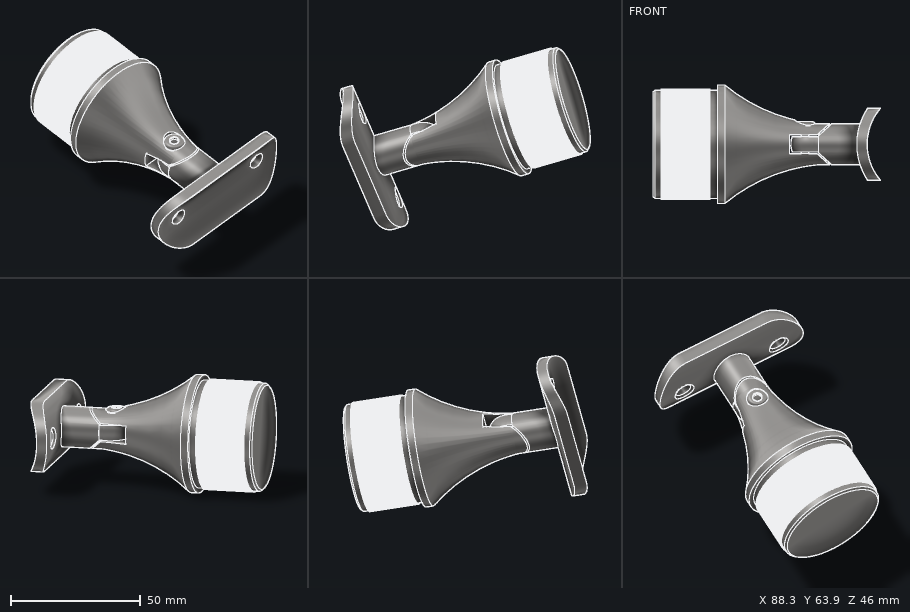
import cadquery as cq
import math


knob_radius = 21.0
knob_chamfer = 0.8
knurl_start = 3.1
knurl_end = 22.25
knurl_crest_radius = 21.45
knurl_ribs = 180
rib_share = 0.5

flange_radius = 46.0 / 2
flange_start = 25.0
flange_end = 27.9
flare_mid_x = 44.1
flare_mid_radius = 13.1
neck_start = 64.1
stem_radius = 16.0 / 2

slot_start = 53.0
slot_height = 7.2
fork_bevel_start = 63.65
bevel_angle = math.radians(42)
tongue_thickness = 6.0
shoulder_height = 6.5
tongue_neck_radius = 16.15 / 2
ball_x = 61.5
ball_radius = 8.1
pivot_x = 59.0
pin_diameter = 3.0
pin_embedment = 0.9

head_diameter = 8.4
head_top_z = 8.8
head_edge_radius = 1.7
socket_across_flats = 3.2
socket_mouth_diameter = 3.7
socket_mouth_depth = 0.3
socket_depth = 1.3

overall_length = 88.3
plate_length = 63.9
plate_width = 28.0
plate_front_x = 79.0
plate_thickness = 4.1
hole_spacing = 42.0
hole_diameter = 6.5
countersink_diameter = 8.4

half_slot = slot_height / 2
half_tongue = tongue_thickness / 2
half_shoulder = shoulder_height / 2
fork_tip_x = fork_bevel_start + (stem_radius - half_slot) / math.tan(bevel_angle)
shoulder_top_x = neck_start + (stem_radius - half_shoulder) / math.tan(bevel_angle)


def x_cylinder(radius, start, end):
    return cq.Workplane("YZ", origin=(start, 0, 0)).circle(radius).extrude(end - start)


def y_prism(points):
    """Closed XZ outline extended through the whole part in Y."""
    return cq.Workplane("XZ").polyline(points).close().extrude(flange_radius, both=True)


def make_knob_and_flare():
    return (
        cq.Workplane("XY")
        .moveTo(0, 0)
        .lineTo(0, knob_radius - knob_chamfer)
        .lineTo(knob_chamfer, knob_radius)
        .lineTo(flange_start, knob_radius)
        .lineTo(flange_start, flange_radius)
        .lineTo(flange_end, flange_radius)
        .threePointArc((flare_mid_x, flare_mid_radius), (neck_start, stem_radius))
        .lineTo(fork_tip_x, stem_radius)
        .lineTo(fork_tip_x, 0)
        .close()
        .revolve(360, (0, 0, 0), (1, 0, 0))
    )


def make_knurl():
    """Straight, square-sided ribs standing on the knob surface."""
    pitch = 2 * math.pi / knurl_ribs
    half_rib = rib_share * pitch / 2
    corners = []
    for rib in range(knurl_ribs):
        angle = rib * pitch
        for radius, offset in (
            (knob_radius, -half_rib),
            (knurl_crest_radius, -half_rib),
            (knurl_crest_radius, half_rib),
            (knob_radius, half_rib),
        ):
            corners.append((radius * math.cos(angle + offset), radius * math.sin(angle + offset)))
    profile = cq.Workplane("YZ", origin=(knurl_start, 0, 0)).polyline(corners).close()
    return profile.extrude(knurl_end - knurl_start)


def make_fork_opening():
    """Slot for the tongue, opening into a wide V at the fork tips."""
    mouth_x = fork_bevel_start + (flange_radius - half_slot) / math.tan(bevel_angle)
    return y_prism(
        [
            (slot_start, -half_slot),
            (fork_bevel_start, -half_slot),
            (mouth_x, -flange_radius),
            (mouth_x, flange_radius),
            (fork_bevel_start, half_slot),
            (slot_start, half_slot),
        ]
    )


def make_stem():
    """Round stem with bevelled shoulders and a flat tongue ending in a ball."""
    rod = x_cylinder(stem_radius, neck_start, plate_front_x + plate_thickness / 2)
    neck = x_cylinder(tongue_neck_radius, ball_x, neck_start)
    ball = cq.Workplane("XY").sphere(ball_radius).translate((ball_x, 0, 0))
    envelope = y_prism(
        [
            (slot_start, -half_tongue),
            (neck_start, -half_tongue),
            (neck_start, -half_shoulder),
            (shoulder_top_x, -stem_radius),
            (overall_length, -stem_radius),
            (overall_length, stem_radius),
            (shoulder_top_x, stem_radius),
            (neck_start, half_shoulder),
            (neck_start, half_tongue),
            (slot_start, half_tongue),
        ]
    )
    return rod.union(neck).union(ball).intersect(envelope)


def make_pin():
    return (
        cq.Workplane("XY", origin=(pivot_x, 0, 0))
        .circle(pin_diameter / 2)
        .extrude(half_slot + pin_embedment, both=True)
    )


def make_screw_head():
    return (
        cq.Workplane("XY", origin=(pivot_x, 0, half_slot))
        .circle(head_diameter / 2)
        .extrude(head_top_z - half_slot)
        .faces(">Z")
        .edges()
        .fillet(head_edge_radius)
    )


def make_head_recess():
    """Spot face that clears the flare above the screw head."""
    return (
        cq.Workplane("XY", origin=(pivot_x, 0, half_slot))
        .circle(head_diameter / 2)
        .extrude(flange_radius)
    )


def make_socket():
    """Hexagonal key socket below a shallow round mouth."""
    corner_diameter = socket_across_flats / math.cos(math.pi / 6)
    top = cq.Workplane("XY", origin=(pivot_x, 0, head_top_z))
    hexagon = top.transformed(rotate=(0, 0, 90)).polygon(6, corner_diameter).extrude(-socket_depth)
    mouth = top.circle(socket_mouth_diameter / 2).extrude(-socket_mouth_depth)
    return hexagon.union(mouth)


def make_plate():
    """Stadium-shaped plate bent round an axis parallel to Y, with two countersunk holes."""
    half_width = plate_width / 2
    reach = overall_length - plate_front_x - plate_thickness
    inner_radius = (half_width**2 + reach**2) / (2 * reach)
    outer_radius = inner_radius + plate_thickness
    axis_x = plate_front_x + outer_radius
    shell = (
        cq.Workplane("XZ", origin=(axis_x, 0, 0))
        .circle(outer_radius)
        .circle(inner_radius)
        .extrude(plate_length / 2, both=True)
    )
    face = cq.Workplane("YZ", origin=(plate_front_x, 0, 0))
    outline = face.slot2D(plate_length, plate_width).extrude(overall_length - plate_front_x)
    centres = [(-hole_spacing / 2, 0), (hole_spacing / 2, 0)]
    holes = face.pushPoints(centres).circle(hole_diameter / 2).extrude(overall_length - plate_front_x)
    plate = shell.intersect(outline).cut(holes)
    rim_width = (countersink_diameter - hole_diameter) / 2
    for y, z in centres:
        rim_box = cq.selectors.BoxSelector(
            (plate_front_x, y - hole_diameter / 2, z - hole_diameter / 2),
            (plate_front_x + rim_width, y + hole_diameter / 2, z + hole_diameter / 2),
        )
        plate = plate.edges(rim_box).chamfer(rim_width)
    return plate


handle = make_knob_and_flare().union(make_knurl()).cut(make_fork_opening())
handle = handle.cut(make_head_recess()).union(make_screw_head()).cut(make_socket())
mount = make_stem().union(make_plate())
result = handle.union(make_pin()).union(mount)